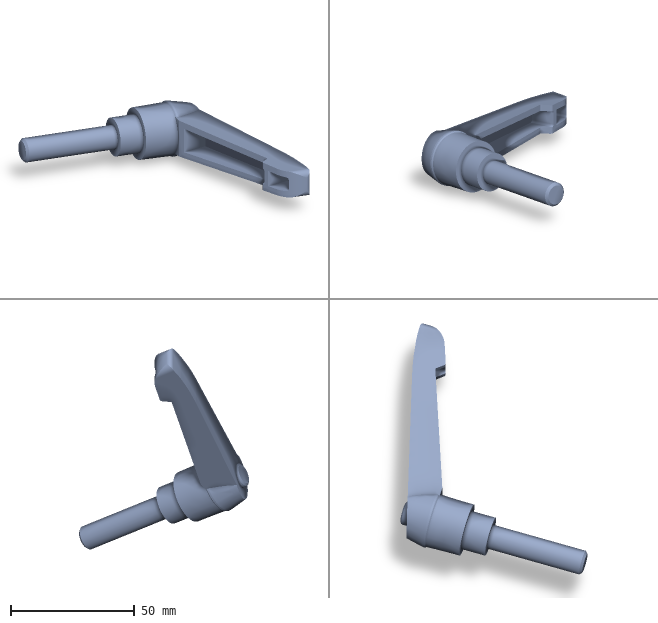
import math

import cadquery as cq


stud_diameter = 10.0
stud_length = 40.0
stud_top = 37.0
stud_end_chamfer = 1.0
stud_head_step = 0.6
stud_head_middle_radius = 4.8
stud_head_face_radius = 3.9
sleeve_diameter = 16.0
sleeve_length = 10.0

hub_base_radius = 10.77
hub_neck_radius = 11.05
hub_rim_radius = 11.49
hub_body_length = 14.0
rim_chamfer_length = 0.5
rim_land_length = 0.8
crown_radius = 8.8
crown_height = 11.5
crown_bulge = 0.1
hub_body_top = sleeve_length + hub_body_length
rim_land_start = hub_body_top + rim_chamfer_length
rim_land_end = rim_land_start + rim_land_length
crown_top = rim_land_end + crown_height

handle_reach = 80.0
handle_top = 53.5
top_angle = math.radians(15)
top_height_at_axis = 35.2
top_line_end_x = 56.0
top_arc_end = (71.5, 53.15)
bottom_angle = math.radians(20)
bottom_line_start_x = 11.9
notch_start_x = 61.5
notch_angle = math.radians(50)
notch_depth_x = 3.0
notch_inner_round = 0.6
notch_outer_round = 1.2
grip_line_end_x = 72.9
tip_round = 1.8

width_taper = math.radians(1.9)
half_width_at_axis = 8.18
tip_corner_round = 2.7

wall_thickness = 2.7
pocket_corner_round = 1.0
grip_pocket_limits = (11.9, 63.0)
tip_pocket_limits = (65.2, 75.4)
pocket_cut_depth = 20.0


def top_line_y(x):
    return top_height_at_axis + x * math.tan(top_angle)


def half_width(x):
    return half_width_at_axis - x * math.tan(width_taper)


def make_stud():
    radius = stud_diameter / 2
    stud = (
        cq.Workplane("XY")
        .polyline(
            [
                (0, -stud_length),
                (radius - stud_end_chamfer, -stud_length),
                (radius, stud_end_chamfer - stud_length),
                (radius, stud_top - 2 * stud_head_step),
                (stud_head_middle_radius, stud_top - stud_head_step),
                (stud_head_face_radius, stud_top),
                (0, stud_top),
            ]
        )
        .close()
        .revolve(360, (0, 0, 0), (0, 1, 0))
    )
    sleeve = (
        cq.Workplane("XZ", origin=(0, sleeve_length, 0))
        .circle(sleeve_diameter / 2)
        .extrude(sleeve_length)
    )
    return stud.union(sleeve)


def make_hub():
    rim_end = (hub_rim_radius, rim_land_end)
    crown = (crown_radius, crown_top)
    crown_middle = ((rim_end[0] + crown[0]) / 2 + crown_bulge, (rim_end[1] + crown[1]) / 2)
    hub = (
        cq.Workplane("XY")
        .moveTo(0, sleeve_length)
        .lineTo(hub_base_radius, sleeve_length)
        .lineTo(hub_neck_radius, hub_body_top)
        .lineTo(hub_rim_radius, rim_land_start)
        .lineTo(*rim_end)
        .threePointArc(crown_middle, crown)
        .lineTo(0, crown_top)
        .close()
        .revolve(360, (0, 0, 0), (0, 1, 0))
    )
    left = -2 * hub_rim_radius
    right = 2 * hub_rim_radius
    below_top = (
        cq.Workplane("XY")
        .polyline([(left, 0), (right, 0), (right, top_line_y(right)), (left, top_line_y(left))])
        .close()
        .extrude(2 * hub_rim_radius, both=True)
    )
    return hub.intersect(below_top)


def make_handle_profile():
    """Side profile of the handle, extruded wider than the finished handle."""
    notch_start_y = hub_body_top + (notch_start_x - bottom_line_start_x) * math.tan(bottom_angle)
    notch_end_x = notch_start_x + notch_depth_x
    notch_end_y = notch_start_y - notch_depth_x * math.tan(notch_angle)
    grip_end_y = notch_end_y + (grip_line_end_x - notch_end_x) * math.tan(bottom_angle)

    tip_x = handle_reach - tip_round
    tip_y = handle_top - tip_round
    dx = grip_line_end_x - tip_x
    dy = grip_end_y - tip_y
    grip_normal_x = -math.sin(bottom_angle)
    grip_normal_y = math.cos(bottom_angle)
    normal_offset = dx * grip_normal_x + dy * grip_normal_y
    end_radius = (tip_round**2 - dx**2 - dy**2) / (2 * (normal_offset + tip_round))
    center_x = grip_line_end_x + end_radius * grip_normal_x
    center_y = grip_end_y + end_radius * grip_normal_y
    end_direction = math.atan2(tip_y - center_y, tip_x - center_x)
    join = (
        tip_x + tip_round * math.cos(end_direction),
        tip_y + tip_round * math.sin(end_direction),
    )

    profile = (
        cq.Workplane("XY")
        .moveTo(0, top_height_at_axis)
        .lineTo(top_line_end_x, top_line_y(top_line_end_x))
        .tangentArcPoint(top_arc_end, relative=False)
        .tangentArcPoint((tip_x, handle_top), relative=False)
        .tangentArcPoint(join, relative=False)
        .tangentArcPoint((grip_line_end_x, grip_end_y), relative=False)
        .lineTo(notch_end_x, notch_end_y)
        .lineTo(notch_start_x, notch_start_y)
        .lineTo(bottom_line_start_x, hub_body_top)
        .lineTo(0, hub_body_top)
        .close()
        .extrude(2 * half_width_at_axis, both=True)
    )
    profile = profile.edges(
        cq.selectors.NearestToPointSelector((notch_start_x, notch_start_y, 0))
    ).fillet(notch_inner_round)
    return profile.edges(
        cq.selectors.NearestToPointSelector((notch_end_x, notch_end_y, 0))
    ).fillet(notch_outer_round)


def make_width_taper():
    """Tapered plan of the handle with rounded outer corners, spanning its full height."""
    root = half_width(0)
    tip = half_width(handle_reach)
    return (
        cq.Workplane("XZ")
        .polyline([(0, -root), (handle_reach, -tip), (handle_reach, tip), (0, root)])
        .close()
        .extrude(-2 * handle_top)
        .edges("|Y and >X")
        .fillet(tip_corner_round)
    )


def make_pocket(floor_start_x, floor_end_x):
    """Pocket cutter whose floor lies one wall thickness below the straight part of the top."""
    floor_plane = cq.Plane(
        origin=(0, top_height_at_axis - wall_thickness / math.cos(top_angle), 0),
        xDir=(math.cos(top_angle), math.sin(top_angle), 0),
        normal=(math.sin(top_angle), -math.cos(top_angle), 0),
    )
    start = floor_start_x / math.cos(top_angle)
    end = floor_end_x / math.cos(top_angle)
    start_half = half_width(floor_start_x) - wall_thickness
    end_half = half_width(floor_end_x) - wall_thickness
    return (
        cq.Workplane(floor_plane)
        .polyline([(start, -start_half), (end, -end_half), (end, end_half), (start, start_half)])
        .close()
        .extrude(pocket_cut_depth)
        .edges(cq.selectors.ParallelDirSelector(floor_plane.zDir))
        .edges(">X")
        .fillet(pocket_corner_round)
    )


def make_handle():
    handle = make_handle_profile().intersect(make_width_taper())
    for limits in (grip_pocket_limits, tip_pocket_limits):
        handle = handle.cut(make_pocket(*limits))
    return handle


result = make_handle().union(make_hub()).union(make_stud())